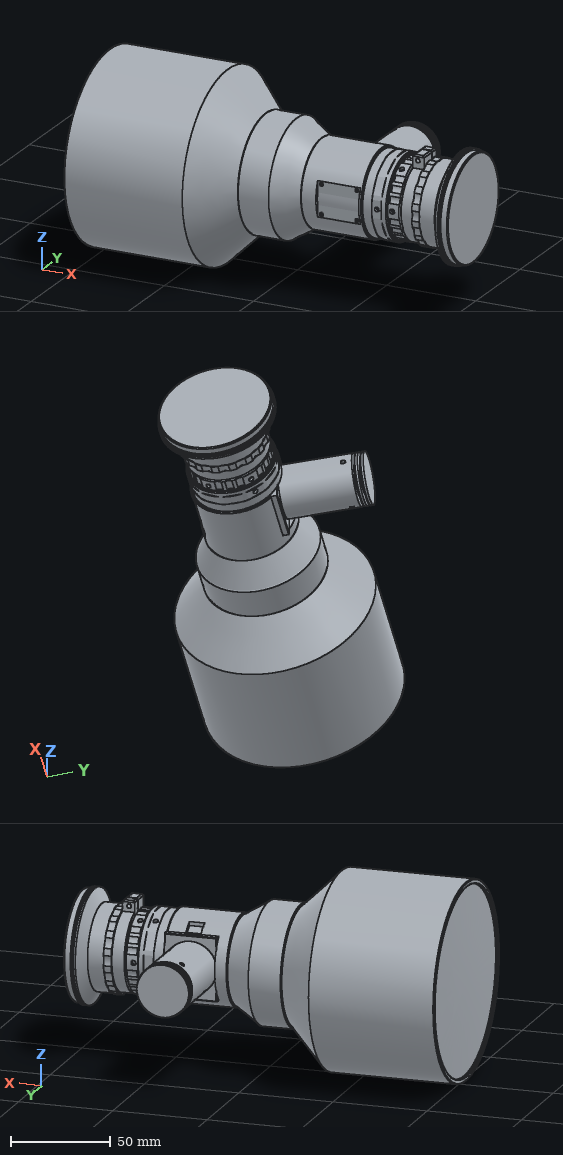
import cadquery as cq
import math


OBJECTIVE_END, OBJECTIVE_R = 66.4, 52.0
COLLAR_START, COLLAR_END, COLLAR_R = 87.4, 105.6, 32.2
MAIN_START, MAIN_END, MAIN_R = 118.8, 153.3, 24.2
FOCUS_END, FOCUS_R = 166.9, 23.1
KNURL_END, KNURL_R = 173.1, 22.1
NECK_END, NECK_R = 174.3, 19.8
CLAMP_END, CLAMP_R = 180.8, 21.9
SCALLOP_END, SCALLOP_R = 184.9, 23.2
TAIL_END, TAIL_R = 193.4, 22.8
FLANGE_START, FLANGE_END, FLANGE_R = 197.4, 200.1, 30.1
TOTAL_LENGTH, END_R = 204.03, 29.2
EDGE = 0.6
RIM_EDGE = 0.4
FLANGE_GROOVE_START, FLANGE_GROOVE_END, FLANGE_GROOVE_DEPTH = 198.6, 199.3, 0.4

LENS_R, LENS_RECESS, LENS_RISE = 49.5, 1.2, 1.0

INNER_TUBE_R = 22.4
PLATE_START, PLATE_END, PLATE_FLAT_Y = 127.6, 151.6, -22.15
PLATE_HOLE_D, PLATE_HOLE_DEPTH, PLATE_HOLE_INSET, PLATE_HOLE_Z = 1.9, 1.5, 2.1, 8.1

HOUSING_X, HOUSING_R, HOUSING_TOP = 139.35, 13.8, 65.0
FIN_THICKNESS, FIN_GAP, FIN_COUNT, FIN_CORE_R, FIN_EDGE = 1.8, 1.2, 2, 8.5, 0.5
SET_SCREW_COUNT, SET_SCREW_Y, SET_SCREW_D, SET_SCREW_DEPTH = 3, 54.6, 2.4, 2.0
PAD_Y, PAD_HALF_HEIGHT, PAD_EDGE = 20.8, 16.8, 0.4

WINDOW_START, WINDOW_END, WINDOW_Y, WINDOW_FLOOR = 135.1, 143.1, 11.6, 16.5

FOCUS_BAND_START, FOCUS_BAND_END, FOCUS_BAND_R = 158.4, 163.7, 23.3
FLAT_COUNT, FLAT_HALF_ANGLE = 12, 12.0
FOCUS_HOLE_COUNT, FOCUS_HOLE_X, FOCUS_HOLE_D, FOCUS_HOLE_DEPTH = 3, 161.1, 2.4, 2.0

FLUTE_START, FLUTE_CUT_R, FLUTE_CHORD = 167.6, 4.0, 3.65
FLUTE_PITCH, FLUTES_PER_GROUP = 14.5, 3
PAD_COUNT, PAD_HOLE_X, PAD_HOLE_D, PAD_HOLE_DEPTH = 6, 169.3, 2.5, 2.0

SCALLOP_COUNT, SCALLOP_CUT_R, SCALLOP_CHORD = 16, 6.5, 5.4

LUG_Y0, LUG_Y1, LUG_TOP, LUG_BOTTOM, LUG_EDGE = -9.0, 5.2, 27.2, 15.0, 0.8
LUG_SLIT, LUG_BOLT_D, LUG_BOLT_X, LUG_BOLT_Z = 0.7, 2.2, 177.3, 24.3

CLEAR = 1.0


def box(x0, x1, y0, y1, z0, z1):
    """Axis-aligned block between two corners."""
    return cq.Workplane("XY").box(x1 - x0, y1 - y0, z1 - z0, centered=False).translate((x0, y0, z0))


def x_rod(x0, x1, radius, y=0.0):
    """Cylinder parallel to the X axis."""
    return cq.Workplane("YZ", origin=(x0, y, 0)).circle(radius).extrude(x1 - x0)


def y_rod(y0, y1, radius, x, z=0.0):
    """Cylinder parallel to the Y axis."""
    return cq.Workplane("XZ", origin=(x, y0, z)).circle(radius).extrude(y0 - y1)


def even_angles(count, start=0.0):
    """Angles evenly spaced over a full turn."""
    return [start + 360.0 * i / count for i in range(count)]


def cut_around_axis(body, tool, angles):
    """Body with a tool removed at each angle about the optical axis."""
    for angle in angles:
        body = body.cut(tool.rotate((0, 0, 0), (1, 0, 0), angle))
    return body


def turned_body():
    """Solid of revolution with all the cones, rings and the rear flange."""
    groove_r = FLANGE_R - FLANGE_GROOVE_DEPTH
    outline = [
        (0, 0), (0, OBJECTIVE_R - RIM_EDGE), (RIM_EDGE, OBJECTIVE_R),
        (OBJECTIVE_END, OBJECTIVE_R),
        (COLLAR_START, COLLAR_R - EDGE), (COLLAR_START + EDGE, COLLAR_R),
        (COLLAR_END - EDGE, COLLAR_R), (COLLAR_END, COLLAR_R - EDGE),
        (MAIN_START, MAIN_R - EDGE), (MAIN_START + EDGE, MAIN_R),
        (MAIN_END - EDGE, MAIN_R), (MAIN_END, MAIN_R - EDGE),
        (MAIN_END, FOCUS_R), (FOCUS_BAND_START, FOCUS_R),
        (FOCUS_BAND_START, FOCUS_BAND_R),
        (FOCUS_END - EDGE, FOCUS_BAND_R), (FOCUS_END, FOCUS_BAND_R - EDGE),
        (FOCUS_END, KNURL_R), (KNURL_END, KNURL_R),
        (KNURL_END, NECK_R), (NECK_END, NECK_R),
        (NECK_END, CLAMP_R), (CLAMP_END, CLAMP_R),
        (CLAMP_END, SCALLOP_R), (SCALLOP_END, SCALLOP_R),
        (SCALLOP_END, TAIL_R), (TAIL_END, TAIL_R),
        (FLANGE_START, FLANGE_R), (FLANGE_GROOVE_START, FLANGE_R),
        (FLANGE_GROOVE_START, groove_r), (FLANGE_GROOVE_END, groove_r),
        (FLANGE_GROOVE_END, FLANGE_R), (FLANGE_END, FLANGE_R),
        (FLANGE_END, END_R), (TOTAL_LENGTH - EDGE, END_R),
        (TOTAL_LENGTH, END_R - EDGE), (TOTAL_LENGTH, 0),
    ]
    return cq.Workplane("XY").polyline(outline).close().revolve(360, (0, 0, 0), (1, 0, 0))


def cut_lens_recess(body):
    """Open the space between the chamfered front rim and the domed lens."""
    dome_r = (LENS_R**2 + LENS_RISE**2) / (2 * LENS_RISE)
    recess = (
        cq.Workplane("XY")
        .moveTo(0, 0).lineTo(0, LENS_R + RIM_EDGE)
        .lineTo(RIM_EDGE, LENS_R).lineTo(LENS_RECESS, LENS_R)
        .radiusArc((LENS_RECESS - LENS_RISE, 0), -dome_r)
        .close().revolve(360, (0, 0, 0), (1, 0, 0))
    )
    return body.cut(recess)


def cut_name_plate(body):
    """Flat recess on the -Y side with a screw hole in each corner."""
    recess = box(PLATE_START, PLATE_END, -MAIN_R - CLEAR, PLATE_FLAT_Y, -MAIN_R, MAIN_R)
    body = body.cut(recess.cut(x_rod(PLATE_START, PLATE_END, INNER_TUBE_R)))
    for x in (PLATE_START + PLATE_HOLE_INSET, PLATE_END - PLATE_HOLE_INSET):
        for z in (-PLATE_HOLE_Z, PLATE_HOLE_Z):
            hole_end = PLATE_FLAT_Y + PLATE_HOLE_DEPTH
            body = body.cut(y_rod(PLATE_FLAT_Y - CLEAR, hole_end, PLATE_HOLE_D / 2, x, z))
    return body


def add_pad(body):
    """Square pad on the +Y side, with the sleeve cut down level with its face."""
    x0 = HOUSING_X - HOUSING_R
    body = body.cut(box(x0, MAIN_END, PAD_Y, MAIN_R + CLEAR, -MAIN_R, MAIN_R))
    pad = box(x0, MAIN_END, 0, PAD_Y, -PAD_HALF_HEIGHT, PAD_HALF_HEIGHT)
    return body.union(pad.faces(">Y").edges().chamfer(PAD_EDGE))


def side_housing():
    """Round housing with two cooling fins at its end and set screws around it."""
    pitch = FIN_THICKNESS + FIN_GAP
    shell_top = HOUSING_TOP - FIN_COUNT * pitch
    housing = y_rod(0, shell_top, HOUSING_R, HOUSING_X)
    housing = housing.union(y_rod(0, HOUSING_TOP, FIN_CORE_R, HOUSING_X))
    for i in range(FIN_COUNT):
        fin_top = HOUSING_TOP - i * pitch
        fin = y_rod(fin_top - FIN_THICKNESS, fin_top, HOUSING_R, HOUSING_X)
        housing = housing.union(fin.faces("<Y").edges().chamfer(FIN_EDGE))

    screw_end = HOUSING_X + HOUSING_R
    screw = x_rod(screw_end - SET_SCREW_DEPTH, screw_end + CLEAR, SET_SCREW_D / 2, SET_SCREW_Y)
    for angle in even_angles(SET_SCREW_COUNT):
        housing = housing.cut(screw.rotate((HOUSING_X, 0, 0), (HOUSING_X, 1, 0), angle))
    return housing


def cut_window(body):
    """Open the sleeve beside the pad, down to the inner tube and a flat floor."""
    pad_corner_y = math.sqrt(MAIN_R**2 - PAD_HALF_HEIGHT**2)
    opening = box(WINDOW_START, WINDOW_END, WINDOW_Y, pad_corner_y, WINDOW_FLOOR, MAIN_R)
    return body.cut(opening.cut(x_rod(WINDOW_START, WINDOW_END, INNER_TUBE_R)))


def cut_focus_ring(body):
    """Flats around the focus ring and its radial screw holes."""
    apothem = FOCUS_BAND_R * math.cos(math.radians(FLAT_HALF_ANGLE))
    half_width = FOCUS_BAND_R / 2
    outer = FOCUS_BAND_R + CLEAR
    flat = box(FOCUS_BAND_START, FOCUS_BAND_END, apothem, outer, -half_width, half_width)
    hole = y_rod(-outer, FOCUS_HOLE_DEPTH - apothem, FOCUS_HOLE_D / 2, FOCUS_HOLE_X)
    body = cut_around_axis(body, flat, even_angles(FLAT_COUNT))
    return cut_around_axis(body, hole, even_angles(FOCUS_HOLE_COUNT))


def hollow_tool(x0, x1, ring_r, cut_r, chord):
    """Rod on the +Y side that cuts a round hollow of the given chord into a ring."""
    half = chord / 2
    centre_y = math.sqrt(ring_r**2 - half**2) + math.sqrt(cut_r**2 - half**2)
    return x_rod(x0, x1, cut_r, centre_y)


def cut_knurled_ring(body):
    """Flutes in groups between the pads, and a radial hole in each pad."""
    flute = hollow_tool(FLUTE_START, KNURL_END, KNURL_R, FLUTE_CUT_R, FLUTE_CHORD)
    hole = y_rod(-KNURL_R - CLEAR, PAD_HOLE_DEPTH - KNURL_R, PAD_HOLE_D / 2, PAD_HOLE_X)
    first = -FLUTE_PITCH * (FLUTES_PER_GROUP - 1) / 2
    half_pad_step = 180.0 / PAD_COUNT
    for i in range(FLUTES_PER_GROUP):
        start = half_pad_step + first + i * FLUTE_PITCH
        body = cut_around_axis(body, flute, even_angles(PAD_COUNT, start))
    return cut_around_axis(body, hole, even_angles(PAD_COUNT))


def cut_scallops(body):
    """Finger scallops around the rear ring."""
    tool = hollow_tool(CLAMP_END, SCALLOP_END, SCALLOP_R, SCALLOP_CUT_R, SCALLOP_CHORD)
    return cut_around_axis(body, tool, even_angles(SCALLOP_COUNT))


def clamp_lug():
    """Split lug with a bolt hole through it along Y."""
    lug = box(NECK_END, CLAMP_END, LUG_Y0, LUG_Y1, LUG_BOTTOM, LUG_TOP)
    lug = lug.faces(">Z").edges().chamfer(LUG_EDGE)
    slit = box(NECK_END, CLAMP_END, -LUG_SLIT / 2, LUG_SLIT / 2, CLAMP_R, LUG_TOP)
    bolt_hole = y_rod(LUG_Y0, LUG_Y1, LUG_BOLT_D / 2, LUG_BOLT_X, LUG_BOLT_Z)
    return lug.cut(slit).cut(bolt_hole)


result = turned_body()
result = cut_lens_recess(result)
result = cut_name_plate(result)
result = add_pad(result)
result = cut_window(result)
result = result.union(side_housing())
result = cut_focus_ring(result)
result = cut_knurled_ring(result)
result = cut_scallops(result)
result = result.union(clamp_lug())